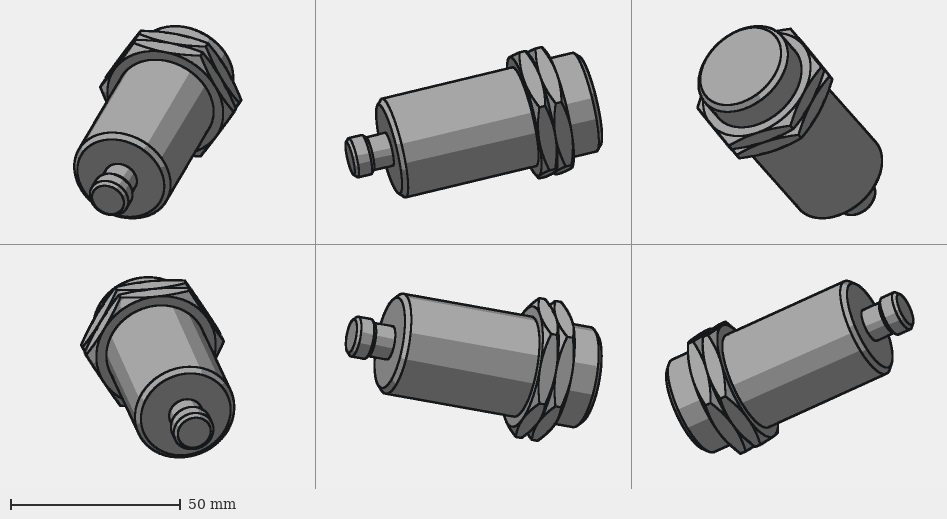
import cadquery as cq
import math

overall_length = 73.5
housing_diameter = 30.0
housing_length = 61.5
housing_chamfer = 1.5

neck_diameter = 10.0
head_diameter = 12.0
head_length = 6.0
head_chamfer = 1.0

nut_count = 2
nut_across_flats = 36.0
nut_thickness = 5.0
nut_setback = 10.0
nut_chamfer_angle = 30.0

housing_front = overall_length - housing_length


def make_housing():
    """Cylinder chamfered at both ends, with the necked plug, turned about Y."""
    body_radius = housing_diameter / 2
    neck_radius = neck_diameter / 2
    head_radius = head_diameter / 2
    head_step = head_radius - neck_radius
    profile = [
        (0, 0),
        (head_radius - head_chamfer, 0),
        (head_radius, head_chamfer),
        (head_radius, head_length - head_step),
        (neck_radius, head_length),
        (neck_radius, housing_front),
        (body_radius - housing_chamfer, housing_front),
        (body_radius, housing_front + housing_chamfer),
        (body_radius, overall_length - housing_chamfer),
        (body_radius - housing_chamfer, overall_length),
        (0, overall_length),
    ]
    return cq.Workplane("XY").polyline(profile).close().revolve(360, (0, 0, 0), (0, 1, 0))


def make_nut(front_y):
    """Hexagon nut with corners along X, its corners coned off on both faces."""
    rim_radius = nut_across_flats / 2
    corner_radius = rim_radius / math.cos(math.radians(30))
    corner_drop = (corner_radius - rim_radius) * math.tan(math.radians(nut_chamfer_angle))
    back_y = front_y + nut_thickness
    hexagon = (
        cq.Workplane("XZ", origin=(0, front_y, 0))
        .polygon(6, 2 * corner_radius)
        .circle(housing_diameter / 2)
        .extrude(-nut_thickness)
    )
    cone_envelope = (
        cq.Workplane("XY")
        .polyline([
            (0, front_y),
            (rim_radius, front_y),
            (corner_radius, front_y + corner_drop),
            (corner_radius, back_y - corner_drop),
            (rim_radius, back_y),
            (0, back_y),
        ])
        .close()
        .revolve(360, (0, 0, 0), (0, 1, 0))
    )
    return hexagon.intersect(cone_envelope)


housing = make_housing()

nuts = []
for index in range(nut_count):
    nut_front = overall_length - nut_setback - (index + 1) * nut_thickness
    nuts.append(make_nut(nut_front))

result = cq.Compound.makeCompound([housing.val(), *[nut.val() for nut in nuts]])